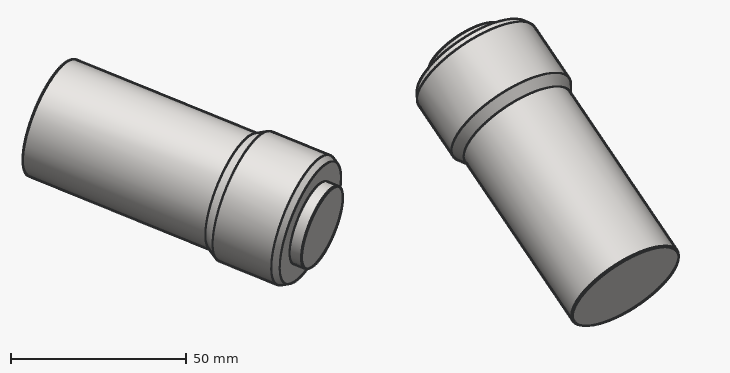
import cadquery as cq

total_length = 87.4
barrel_length = 59.1
flare_length = 3.4
nose_length = 3.9

barrel_diameter = 36.0
head_diameter = 40.0
nose_diameter = 25.5

barrel_chamfer = 0.3
nose_chamfer = 0.2
head_chamfer_length = 2.1
head_chamfer_depth = 1.2

flare_end = barrel_length + flare_length
head_end = total_length - nose_length
head_chamfer_start = head_end - head_chamfer_length

barrel_radius = barrel_diameter / 2
head_radius = head_diameter / 2
nose_radius = nose_diameter / 2


def turned_profile():
    """Half section in the XZ plane: barrel, conical flare, head and nose."""
    return (
        cq.Workplane("XZ")
        .moveTo(0, 0)
        .lineTo(0, barrel_radius - barrel_chamfer)
        .lineTo(barrel_chamfer, barrel_radius)
        .lineTo(barrel_length, barrel_radius)
        .lineTo(flare_end, head_radius)
        .lineTo(head_chamfer_start, head_radius)
        .lineTo(head_end, head_radius - head_chamfer_depth)
        .lineTo(head_end, nose_radius)
        .lineTo(total_length - nose_chamfer, nose_radius)
        .lineTo(total_length, nose_radius - nose_chamfer)
        .lineTo(total_length, 0)
        .close()
    )


result = turned_profile().revolve(360, (0, 0, 0), (1, 0, 0))